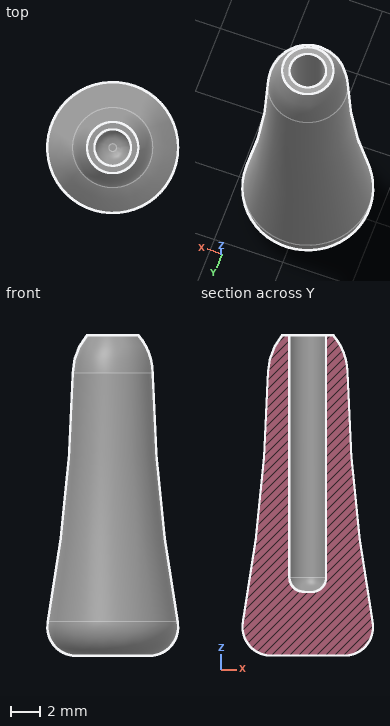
import cadquery as cq
import math

height = 22.0
max_radius = 4.5

base_round = 2.0
base_end_angle = math.radians(10.5)

neck_radius = 2.75
neck_height = 19.4
flank_mid_radius = 3.25
flank_mid_height = 10.9

rim_radius = 1.75
nose_round = 4.0

bore_radius = 1.25
bore_depth = 17.6
bore_round = 1.0


def on_base_round(angle):
    """Point of the base round at an angle above the horizontal."""
    center_radius = max_radius - base_round
    return (
        center_radius + base_round * math.cos(angle),
        base_round + base_round * math.sin(angle),
    )


def make_body():
    """Revolve the outer half-profile about the Z axis."""
    profile = (
        cq.Workplane("XZ")
        .lineTo(max_radius - base_round, 0)
        .threePointArc(on_base_round(math.radians(-45)), on_base_round(base_end_angle))
        .threePointArc((flank_mid_radius, flank_mid_height), (neck_radius, neck_height))
        .radiusArc((rim_radius, height), -nose_round)
        .lineTo(0, height)
        .close()
    )
    return profile.revolve(360, (0, 0, 0), (0, 1, 0))


def make_bore():
    """Cylinder down from the top rim, with its lower edge rounded."""
    bore = cq.Workplane("XY").workplane(offset=height).circle(bore_radius).extrude(-bore_depth)
    return bore.faces("<Z").edges().fillet(bore_round)


result = make_body().cut(make_bore())